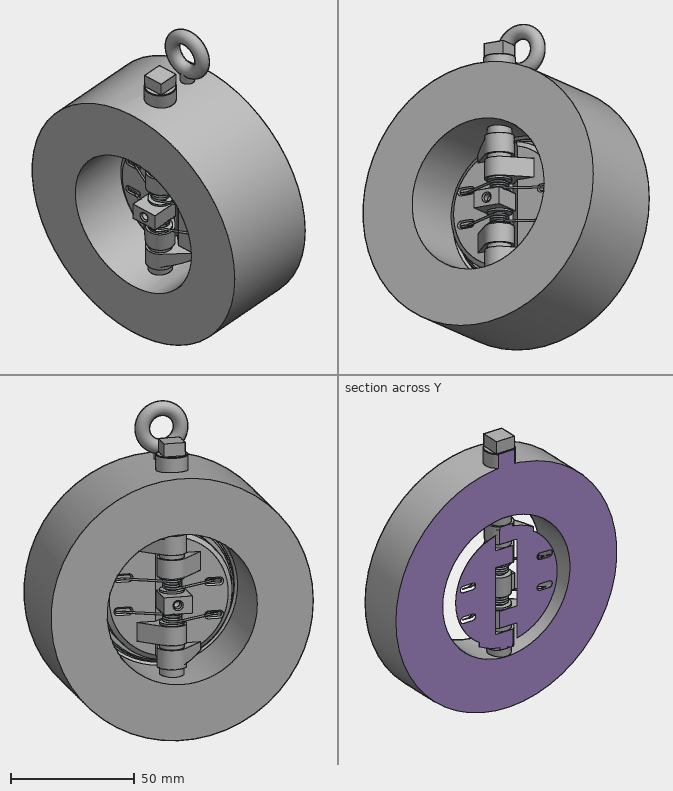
import cadquery as cq
import math


body_diameter = 110.0
body_length = 43.0
bore_diameter = 63.0
front_y = -body_length / 2
bore_radius = bore_diameter / 2
body_radius = body_diameter / 2

bore_end_y = 9.6
seat_radius = 30.4
flange_radius = 29.6
flange_face_radius = 28.8
flange_face_y = 8.0
disc_radius = 26.9
disc_face_radius = 24.9
disc_face_y = -0.3
disc_chamfer_depth = 1.3
groove_half_width = 5.5

overall_height = 134.0
eye_y = 11.4
eye_wire_diameter = 6.0
eye_inner_diameter = 10.0
eye_ring_radius = (eye_inner_diameter + eye_wire_diameter) / 2
eye_top_z = overall_height - body_radius
eye_center_z = eye_top_z - eye_ring_radius - eye_wire_diameter / 2

plug_diameter = 13.1
plug_top_z = 61.2
plug_chamfer = 0.3
square_side = 9.0
square_top_z = 66.7

root_depth = 2.7
stem_root_z = body_radius - root_depth

hinge_y = -5.1
pin_diameter = 5.4
bushing_diameter = 10.0
sleeve_diameter = 12.0
sleeve_radius = sleeve_diameter / 2
inner_sleeve = (10.0, 18.0)
outer_sleeve = (20.0, 28.0)
spring_gap = (4.4, 9.2)
lug_foot_x = 13.5

block_width = 11.9
block_height = 7.2
block_front_y = -15.0
block_depth = 12.6
screw_hole_diameter = 3.1
screw_hole_depth = 3.3
screw_countersink_diameter = 4.3

wire_diameter = 0.8
coil_radius = 3.5
coil_full_turns = 3
arm_slope = 0.5
arm_left_z = 8.5
arm_right_z = 5.2
arm_bend_x = 18.6
arm_end_x = 21.7
spring_spacing = 13.9
pocket_x = 19.0
pocket_length = 7.9
pocket_width = 3.3
pocket_depth = 0.7
pocket_left_z = 9.0
pocket_right_z = 5.0
pocket_taper = 45


def upright_cylinder(diameter, y, bottom_z, top_z):
    """Cylinder along Z, centred at x = 0."""
    base = cq.Workplane("XY", origin=(0, y, bottom_z))
    return base.circle(diameter / 2).extrude(top_z - bottom_z)


def make_body():
    """Round body with a blind stepped bore that surrounds the chamfered closure disc."""
    seat_y = bore_end_y + bore_radius - seat_radius
    flange_edge_y = flange_face_y + flange_radius - flange_face_radius
    profile = [
        (0, body_length / 2),
        (body_radius, body_length / 2),
        (body_radius, front_y),
        (bore_radius, front_y),
        (bore_radius, bore_end_y),
        (seat_radius, seat_y),
        (flange_radius, seat_y),
        (flange_radius, flange_edge_y),
        (flange_face_radius, flange_face_y),
        (disc_radius, flange_face_y),
        (disc_radius, disc_face_y + disc_chamfer_depth),
        (disc_face_radius, disc_face_y),
        (0, disc_face_y),
    ]
    return cq.Workplane("XY").polyline(profile).close().revolve(360, (0, 0, 0), (0, 1, 0))


def make_groove():
    """V-groove between the two halves of the disc, with 45 degree sides."""
    height = 2 * disc_radius
    corners = [
        (-groove_half_width, disc_face_y),
        (groove_half_width, disc_face_y),
        (0, disc_face_y + groove_half_width),
    ]
    return cq.Workplane("XY", origin=(0, 0, -disc_radius)).polyline(corners).close().extrude(height)


def make_eye():
    """Lifting ring on a short shank of the same thickness."""
    section = cq.Workplane("XY", origin=(0, eye_y, eye_center_z - eye_ring_radius))
    section = section.transformed(rotate=(0, 90, 0)).circle(eye_wire_diameter / 2)
    ring = section.revolve(360, (-eye_ring_radius, 0, 0), (-eye_ring_radius, 1, 0))
    shank_top_z = eye_center_z - eye_ring_radius
    return ring.union(upright_cylinder(eye_wire_diameter, eye_y, stem_root_z, shank_top_z))


def make_plug():
    """Round plug with a chamfered rim and a square head."""
    plug = upright_cylinder(plug_diameter, hinge_y, stem_root_z, plug_top_z)
    plug = plug.faces(">Z").chamfer(plug_chamfer)
    head = cq.Workplane("XY", origin=(0, hinge_y, plug_top_z))
    head = head.rect(square_side, square_side).extrude(square_top_z - plug_top_z)
    return plug.union(head)


def make_hinge():
    """Hinge pin with bushings, bare only where the springs sit, and four sleeves."""
    pin_end_z = bore_radius + root_depth
    hinge = upright_cylinder(pin_diameter, hinge_y, -pin_end_z, pin_end_z)
    gap_start, gap_end = spring_gap
    hinge = hinge.union(upright_cylinder(bushing_diameter, hinge_y, -gap_start, gap_start))
    for bottom, top in ((gap_end, pin_end_z), (-pin_end_z, -gap_end)):
        hinge = hinge.union(upright_cylinder(bushing_diameter, hinge_y, bottom, top))
    for near, far in (inner_sleeve, outer_sleeve):
        for bottom, top in ((near, far), (-far, -near)):
            hinge = hinge.union(upright_cylinder(sleeve_diameter, hinge_y, bottom, top))
    return hinge


def make_lug(side, bottom_z, top_z):
    """Lug as wide as its sleeve, running at 45 degrees from the sleeve into the disc."""
    tangent = sleeve_radius * math.sqrt(0.5)
    front_tangent_y = hinge_y - tangent
    back_tangent_y = hinge_y + tangent
    back_end_y = back_tangent_y + groove_half_width + tangent
    corners = [
        (side * tangent, front_tangent_y),
        (side * lug_foot_x, front_tangent_y + lug_foot_x - tangent),
        (side * lug_foot_x, back_end_y),
        (side * groove_half_width, back_end_y),
        (-side * tangent, back_tangent_y),
    ]
    height = top_z - bottom_z
    lug = cq.Workplane("XY", origin=(0, 0, bottom_z)).polyline(corners).close().extrude(height)
    envelope = cq.Workplane("XZ", origin=(0, back_end_y, 0)).circle(disc_radius)
    return lug.intersect(envelope.extrude(back_end_y - front_y))


def make_block():
    """Center block, and the countersunk blind hole to cut into its front face."""
    block = cq.Workplane("XY").box(block_width, block_depth, block_height)
    block = block.translate((0, block_front_y + block_depth / 2, 0))
    hole_radius = screw_hole_diameter / 2
    countersink_radius = screw_countersink_diameter / 2
    hole_profile = [
        (0, block_front_y),
        (countersink_radius, block_front_y),
        (hole_radius, block_front_y + countersink_radius - hole_radius),
        (hole_radius, block_front_y + screw_hole_depth),
        (0, block_front_y + screw_hole_depth + hole_radius),
    ]
    hole = cq.Workplane("XY").polyline(hole_profile).close().revolve(360, (0, 0, 0), (0, 1, 0))
    return block, hole


def make_pocket(side, z):
    """Tapered obround pocket in the disc face."""
    plane = cq.Workplane("XZ", origin=(side * pocket_x, disc_face_y, z))
    return plane.slot2D(pocket_length, pocket_width).extrude(-pocket_depth, taper=pocket_taper)


def wire_rod(start, end):
    """Straight round-ended piece of spring wire."""
    direction = cq.Vector(*end) - cq.Vector(*start)
    radius = wire_diameter / 2
    rod = cq.Workplane(cq.Solid.makeCylinder(radius, direction.Length, cq.Vector(*start), direction))
    return rod.union(cq.Workplane("XY").sphere(radius).translate(end))


def make_arm(side, z):
    """Spring arm, tangent to the coil, bent flat where it enters its pocket."""
    angle = math.atan(arm_slope)
    tangent_x = coil_radius * math.sin(angle)
    tangent_y = hinge_y - coil_radius * math.cos(angle)
    bend_y = tangent_y + arm_slope * (arm_bend_x - tangent_x)
    start = (side * tangent_x, tangent_y, z)
    bend = (side * arm_bend_x, bend_y, z)
    end = (side * arm_end_x, bend_y, z)
    return wire_rod(start, bend).union(wire_rod(bend, end))


def make_spring():
    """Torsion spring whose coil runs from the left arm down to the right arm."""
    angle = math.degrees(math.atan(arm_slope))
    turns = coil_full_turns + 2 * angle / 360
    height = arm_left_z - arm_right_z
    path = cq.Wire.makeHelix(height / turns, height, coil_radius, lefthand=True)
    section = cq.Workplane("XZ", origin=(coil_radius, 0, 0)).circle(wire_diameter / 2)
    coil = section.sweep(cq.Workplane(path), isFrenet=True)
    coil = coil.rotate((0, 0, 0), (0, 0, 1), angle - 90).translate((0, hinge_y, arm_right_z))
    return coil.union(make_arm(-1, arm_left_z)).union(make_arm(1, arm_right_z))


result = make_body().cut(make_groove())
for drop in (0, spring_spacing):
    result = result.cut(make_pocket(-1, pocket_left_z - drop))
    result = result.cut(make_pocket(1, pocket_right_z - drop))

result = result.union(make_eye()).union(make_plug()).union(make_hinge())

block, screw_hole = make_block()
result = result.union(block).cut(screw_hole)

for side in (-1, 1):
    outer_ends = sorted(-side * z for z in outer_sleeve)
    inner_ends = sorted(side * z for z in inner_sleeve)
    result = result.union(make_lug(side, *outer_ends)).union(make_lug(side, *inner_ends))

spring = make_spring()
for drop in (0, spring_spacing):
    result = result.union(spring.translate((0, 0, -drop)))